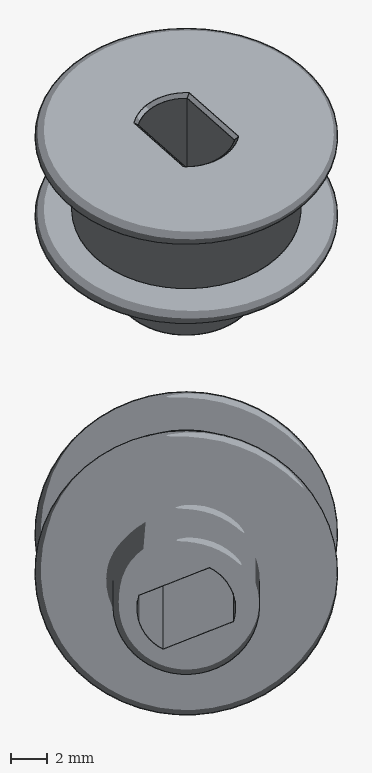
import cadquery as cq

flange_diameter = 16.5
drum_diameter = 12.5
stem_diameter = 8.0
total_height = 12.0
flange_thickness = 1.0
drum_height = 5.0
stem_edge_radius = 0.5
bore_diameter = 5.38
bore_flat_width = 3.4
bore_chamfer = 0.21

stem_height = total_height - drum_height - 2 * flange_thickness
drum_bottom = stem_height + flange_thickness
upper_flange_bottom = drum_bottom + drum_height


def disc(diameter, height, bottom):
    """Plain cylinder on the Z axis."""
    return cq.Workplane("XY").workplane(offset=bottom).circle(diameter / 2).extrude(height)


def flange(bottom):
    """Disc whose rim is a full half-round."""
    rim_radius = flange_thickness / 2
    flat_radius = flange_diameter / 2 - rim_radius
    top = bottom + flange_thickness
    return (
        cq.Workplane("XZ")
        .moveTo(0, bottom)
        .lineTo(flat_radius, bottom)
        .threePointArc((flange_diameter / 2, bottom + rim_radius), (flat_radius, top))
        .lineTo(0, top)
        .close()
        .revolve(360, (0, 0), (0, 1))
    )


def stem():
    """Stem with a rounded lower edge and a concave fillet below the flange."""
    radius = stem_diameter / 2
    fillet_offset = stem_edge_radius * (1 - 0.5 ** 0.5)
    return (
        cq.Workplane("XZ")
        .lineTo(radius - stem_edge_radius, 0)
        .threePointArc((radius - fillet_offset, fillet_offset), (radius, stem_edge_radius))
        .lineTo(radius, stem_height - stem_edge_radius)
        .threePointArc(
            (radius + fillet_offset, stem_height - fillet_offset),
            (radius + stem_edge_radius, stem_height),
        )
        .lineTo(0, stem_height)
        .close()
        .revolve(360, (0, 0), (0, 1))
    )


def double_d_bore():
    """Through bore with two flats facing Y, widened by a chamfer at the top."""
    round_bore = disc(bore_diameter, total_height, 0)
    flats = cq.Workplane("XY").rect(bore_diameter, bore_flat_width).extrude(total_height)
    return round_bore.intersect(flats)


body = stem().union(flange(stem_height))
body = body.union(disc(drum_diameter, drum_height, drum_bottom))
body = body.union(flange(upper_flange_bottom))
body = body.cut(double_d_bore())

bore_mouth = body.faces(">Z").val().innerWires()[0]
result = body.newObject(bore_mouth.Edges()).chamfer(bore_chamfer)